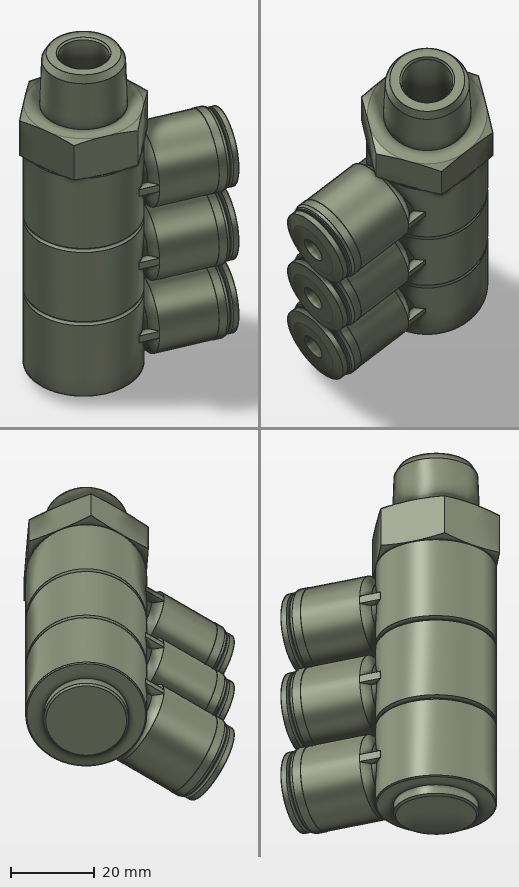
import cadquery as cq
import math

total_height = 93.5
ring_count = 3
ring_diameter = 29.0
ring_pitch = 21.5
end_rim_chamfer = 0.3
joint_depth = 0.61

plug_diameter = 20.3
plug_height = 2.8
plug_chamfer = 0.5

hex_across_flats = 28.6
hex_height = 11.2
hex_corner_drop = 0.61

thread_base_diameter = 21.0
thread_tip_diameter = 20.1
thread_face_diameter = 17.95
thread_chamfer_height = 1.9

bore_diameter = 12.2
bore_mouth_diameter = 13.1
bore_depth = 26.2
drill_point_angle = 118.0
channel_diameter = 6.3

overall_depth = 53.3
web_thickness = 2.0
neck_diameter = 16.7
neck_cone_end = 13.3
port_diameter = 20.85
port_start = 15.4
port_end = 33.9
sleeve_diameter = 21.0
sleeve_start = 30.8
sleeve_edge_diameter = 20.4
sleeve_taper_length = 1.0
sleeve_lip = 0.3
collar_stem_diameter = 14.0
stem_flare = 0.3
collar_diameter = 19.8
collar_start = 34.7
collar_thickness = 1.4

hex_base = plug_height + ring_count * ring_pitch
hex_top = hex_base + hex_height
hex_across_corners = hex_across_flats / math.cos(math.radians(30))
port_tip = overall_depth - hex_across_corners / 2
port_levels = [plug_height + (i + 0.5) * ring_pitch for i in range(ring_count)]


def cylinder(diameter, base, height):
    return cq.Workplane("XY").workplane(offset=base).circle(diameter / 2).extrude(height)


def revolve_about_z(profile):
    """Revolve an outline of (radius, z) points about the Z axis."""
    return cq.Workplane("XZ").polyline(profile).close().revolve(360, (0, 0), (0, 1))


def make_ring_stack():
    """Column of banjo rings, chamfered at both ends, with a V groove at each joint."""
    radius = ring_diameter / 2
    column = cylinder(ring_diameter, plug_height, ring_count * ring_pitch).edges().chamfer(end_rim_chamfer)
    for i in range(1, ring_count):
        joint = plug_height + i * ring_pitch
        groove = revolve_about_z([
            (radius, joint - joint_depth),
            (radius, joint + joint_depth),
            (radius - joint_depth, joint),
        ])
        column = column.cut(groove)
    return column


def make_plug():
    return cylinder(plug_diameter, 0, plug_height).faces("<Z").edges().chamfer(plug_chamfer)


def make_hexagon():
    """Hexagon trimmed at both ends by a shallow cone that touches its flats."""
    prism = (
        cq.Workplane("XY")
        .workplane(offset=hex_base)
        .transformed(rotate=(0, 0, 90))
        .polygon(6, hex_across_corners)
        .extrude(hex_height)
    )
    flat_radius = hex_across_flats / 2
    corner_radius = hex_across_corners / 2
    envelope = revolve_about_z([
        (0, hex_base),
        (flat_radius, hex_base),
        (corner_radius, hex_base + hex_corner_drop),
        (corner_radius, hex_top - hex_corner_drop),
        (flat_radius, hex_top),
        (0, hex_top),
    ])
    return prism.intersect(envelope)


def make_thread():
    return revolve_about_z([
        (0, hex_top),
        (thread_base_diameter / 2, hex_top),
        (thread_tip_diameter / 2, total_height - thread_chamfer_height),
        (thread_face_diameter / 2, total_height),
        (0, total_height),
    ])


def make_port(level):
    """Port necked down at the ring, with an end sleeve and a release collar at its tip."""
    profile = [
        (0, 0),
        (neck_diameter / 2, 0),
        (neck_diameter / 2, neck_cone_end),
        (port_diameter / 2, port_start),
        (port_diameter / 2, sleeve_start),
        (sleeve_diameter / 2, sleeve_start),
        (sleeve_diameter / 2, port_end - sleeve_taper_length),
        (sleeve_edge_diameter / 2, port_end - sleeve_lip),
        (sleeve_edge_diameter / 2 - sleeve_lip, port_end),
        (collar_stem_diameter / 2, port_end),
        (collar_stem_diameter / 2, collar_start - stem_flare),
        (collar_stem_diameter / 2 + stem_flare, collar_start),
        (collar_diameter / 2, collar_start),
        (collar_diameter / 2, collar_start + collar_thickness),
        (collar_stem_diameter / 2, port_tip),
        (0, port_tip),
    ]
    body = cq.Workplane("XY").polyline(profile).close().revolve(360, (0, 0), (0, 1))
    web = cq.Workplane("XY").box(port_diameter, port_start, web_thickness, centered=(True, False, True))
    return body.union(web).translate((0, 0, level))


def make_bore():
    """Threaded-end bore with a chamfered mouth and a drill-point floor."""
    bore_radius = bore_diameter / 2
    mouth_radius = bore_mouth_diameter / 2
    floor = total_height - bore_depth
    point_depth = bore_radius / math.tan(math.radians(drill_point_angle / 2))
    return revolve_about_z([
        (0, floor - point_depth),
        (bore_radius, floor),
        (bore_radius, total_height - (mouth_radius - bore_radius)),
        (mouth_radius, total_height),
        (0, total_height),
    ])


def make_channels():
    """Central channel with a ball end at the lowest port, and a branch out through each port."""
    lowest = port_levels[0]
    channels = cylinder(channel_diameter, lowest, total_height - bore_depth - lowest)
    channels = channels.union(cq.Workplane("XY").sphere(channel_diameter / 2).translate((0, 0, lowest)))
    for level in port_levels:
        branch = cq.Workplane("XZ").circle(channel_diameter / 2).extrude(-port_tip)
        channels = channels.union(branch.translate((0, 0, level)))
    return channels


body = make_plug().union(make_ring_stack()).union(make_hexagon()).union(make_thread())
for level in port_levels:
    body = body.union(make_port(level))

result = body.cut(make_bore()).cut(make_channels())